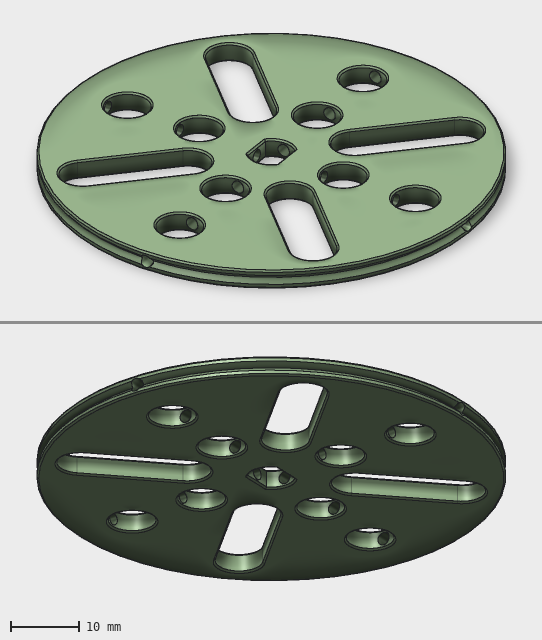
import cadquery as cq

disc_diameter = 68.75
disc_radius = disc_diameter / 2
thickness = 3.1
half_thickness = thickness / 2
edge_chamfer = 0.3

groove_depth = 0.75

hole_diameter = 7.0
inner_hole_radius = 12.5
outer_hole_radius = 2 * inner_hole_radius
slot_inner_radius = inner_hole_radius
slot_outer_radius = 28.3
bore_flat_width = 5.1

cross_hole_diameter = 2.0

drill_seam_angle = 30


def make_grooved_disc():
    """Revolve the half section of the disc with the V groove in its rim."""
    section = [
        (0, -half_thickness),
        (disc_radius, -half_thickness),
        (disc_radius, -groove_depth),
        (disc_radius - groove_depth, 0),
        (disc_radius, groove_depth),
        (disc_radius, half_thickness),
        (0, half_thickness),
    ]
    return cq.Workplane("XZ").polyline(section).close().revolve(360, (0, 0, 0), (0, 1, 0))


def turn_about_z(body, angle):
    return body.rotate((0, 0, 0), (0, 0, 1), angle)


def extrude_through(profile):
    return profile.extrude(half_thickness, both=True)


def make_cross_drillings():
    """Cutters that run past both sides of the rim along X and along Y."""
    drill = cq.Workplane("YZ").circle(cross_hole_diameter / 2).extrude(disc_diameter, both=True)
    drill = drill.rotate((0, 0, 0), (1, 0, 0), drill_seam_angle)
    return [drill, turn_about_z(drill, 90)]


def make_openings():
    """Cutters for the bore with two flats, the round holes and the diagonal slots."""
    mid_plane = cq.Workplane("XY")
    bore = extrude_through(mid_plane.circle(hole_diameter / 2))
    flats = extrude_through(mid_plane.rect(bore_flat_width, hole_diameter))
    openings = [bore.intersect(flats)]

    hole_centres = [(inner_hole_radius, 0), (outer_hole_radius, 0)]
    holes = extrude_through(mid_plane.pushPoints(hole_centres).circle(hole_diameter / 2))

    slot_length = slot_outer_radius - slot_inner_radius + hole_diameter
    slot_middle = (slot_inner_radius + slot_outer_radius) / 2
    slot = extrude_through(mid_plane.center(slot_middle, 0).slot2D(slot_length, hole_diameter))

    for turn in (0, 90, 180, 270):
        openings.append(turn_about_z(holes, turn))
        openings.append(turn_about_z(slot, turn + 45))
    return openings


result = make_grooved_disc()
for cutter in make_cross_drillings() + make_openings():
    result = result.cut(cutter)

result = result.faces("|Z").edges().chamfer(edge_chamfer)